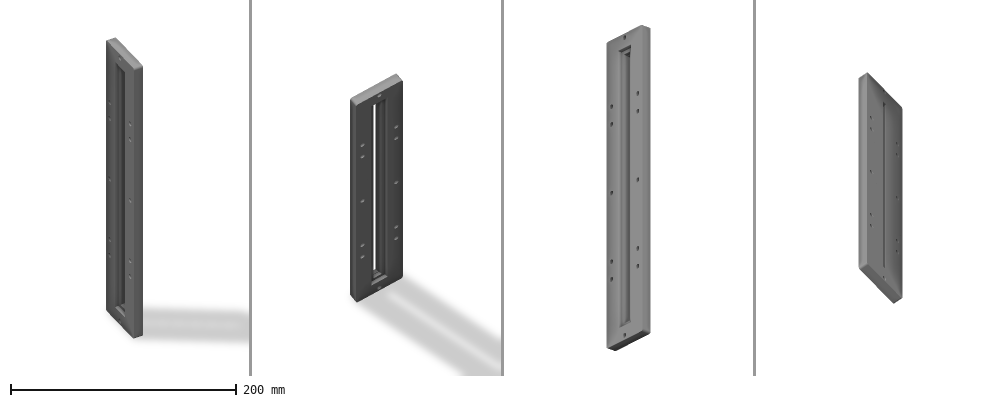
import cadquery as cq

width = 50.0
thickness = 9.3
height = 301.0
corner_radius = 2.0
front_y = -thickness / 2

hole_diameter = 4.5
side_hole_x = 18.0
side_hole_levels = (-85.0, -67.5, 0.0, 67.5, 85.0)
end_hole_z = 146.3

recess_width = 17.5
recess_height = 272.7
recess_depth = 3.0
recess_inset = 1.0
slot_width = 8.5
slot_height = 264.3
slot_depth = 3.0
slot_inset = 0.5
throat_width = 6.0
throat_height = 262.0
throat_inset = 1.0


def tapered_pocket(mouth_width, mouth_height, mouth_y, depth, inset):
    """Rectangular pocket cutter narrowing by inset per side towards +Y."""
    return (
        cq.Workplane("XZ", origin=(0, mouth_y, 0))
        .rect(mouth_width, mouth_height)
        .workplane(offset=-depth)
        .rect(mouth_width - 2 * inset, mouth_height - 2 * inset)
        .loft(ruled=True)
    )


plate = cq.Workplane("XY").box(width, thickness, height).edges("|Y").fillet(corner_radius)

slot_y = front_y + recess_depth
throat_y = slot_y + slot_depth
throat_depth = thickness - recess_depth - slot_depth
recess = tapered_pocket(recess_width, recess_height, front_y, recess_depth, recess_inset)
slot = tapered_pocket(slot_width, slot_height, slot_y, slot_depth, slot_inset)
throat = tapered_pocket(throat_width, throat_height, throat_y, throat_depth, throat_inset)

hole_points = [(x, z) for x in (-side_hole_x, side_hole_x) for z in side_hole_levels]
hole_points += [(0, -end_hole_z), (0, end_hole_z)]
holes = (
    cq.Workplane("XZ", origin=(0, front_y, 0))
    .pushPoints(hole_points)
    .circle(hole_diameter / 2)
    .extrude(-thickness)
)

result = plate.cut(recess).cut(slot).cut(throat).cut(holes)